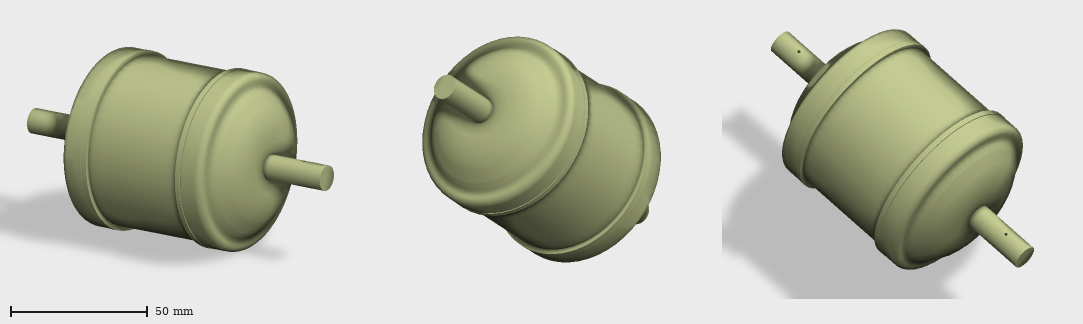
import cadquery as cq
import math

shaft_length = 128.0
shaft_radius = 9.5 / 2
pin_hole_diameter = 1.2
pin_hole_depth = shaft_radius
pin_hole_offset = 54.1

barrel_radius = 63.5 / 2
flange_radius = 67.0 / 2
flange_inner_x = 19.5
flange_outer_x = 21.5

cap_radius = 66.7 / 2
cap_edge_fillet = 0.4
cap_face_x = 30.3
rim_fillet = 2.4
flare_radius = 2.7
flare_outer_radius = 29.8
cone_angle = math.radians(45)
dome_start_radius = 26.0
dome_flat_radius = 10.9


def arc_middle(center, radius, angle):
    """Point on an arc, with the angle measured from +X toward the radial direction."""
    return (center[0] + radius * math.cos(angle), center[1] + radius * math.sin(angle))


def make_cap():
    """End cap on the +X side, as a solid of revolution about X."""
    flare_center = (cap_face_x + flare_radius, flare_outer_radius)
    flare_end = arc_middle(flare_center, flare_radius, math.pi + cone_angle)
    flare_middle = arc_middle(flare_center, flare_radius, math.pi + cone_angle / 2)

    cone_height = flare_end[1] - dome_start_radius
    dome_start_x = flare_end[0] + cone_height / math.tan(cone_angle)
    dome_radius = (dome_start_radius - dome_flat_radius) / math.sin(cone_angle)
    dome_center = (dome_start_x - dome_radius * math.cos(cone_angle), dome_flat_radius)
    dome_middle = arc_middle(dome_center, dome_radius, cone_angle / 2)
    dome_face_x = dome_center[0] + dome_radius

    rim_center = (cap_face_x - rim_fillet, cap_radius - rim_fillet)
    edge_center = (flange_outer_x + cap_edge_fillet, cap_radius - cap_edge_fillet)
    eighth_turn = math.pi / 4
    return (
        cq.Workplane("XY")
        .moveTo(flange_outer_x, 0)
        .lineTo(flange_outer_x, edge_center[1])
        .threePointArc(
            arc_middle(edge_center, cap_edge_fillet, 3 * eighth_turn),
            (edge_center[0], cap_radius),
        )
        .lineTo(rim_center[0], cap_radius)
        .threePointArc(
            arc_middle(rim_center, rim_fillet, eighth_turn),
            (cap_face_x, rim_center[1]),
        )
        .lineTo(cap_face_x, flare_outer_radius)
        .threePointArc(flare_middle, flare_end)
        .lineTo(dome_start_x, dome_start_radius)
        .threePointArc(dome_middle, (dome_face_x, dome_flat_radius))
        .lineTo(dome_face_x, 0)
        .close()
        .revolve(360, (0, 0, 0), (1, 0, 0))
    )


def cylinder_along_x(radius, start_x, end_x):
    return cq.Workplane("YZ", origin=(start_x, 0, 0)).circle(radius).extrude(end_x - start_x)


result = cylinder_along_x(shaft_radius, -shaft_length / 2, shaft_length / 2)
result = result.union(cylinder_along_x(barrel_radius, -flange_outer_x, flange_outer_x))
result = result.union(cylinder_along_x(flange_radius, flange_inner_x, flange_outer_x))
result = result.union(cylinder_along_x(flange_radius, -flange_outer_x, -flange_inner_x))

cap = make_cap()
result = result.union(cap).union(cap.mirror("YZ"))

pin_holes = (
    cq.Workplane("XY", origin=(0, 0, shaft_radius - pin_hole_depth))
    .pushPoints([(-pin_hole_offset, 0), (pin_hole_offset, 0)])
    .circle(pin_hole_diameter / 2)
    .extrude(2 * shaft_radius)
)
result = result.cut(pin_holes)